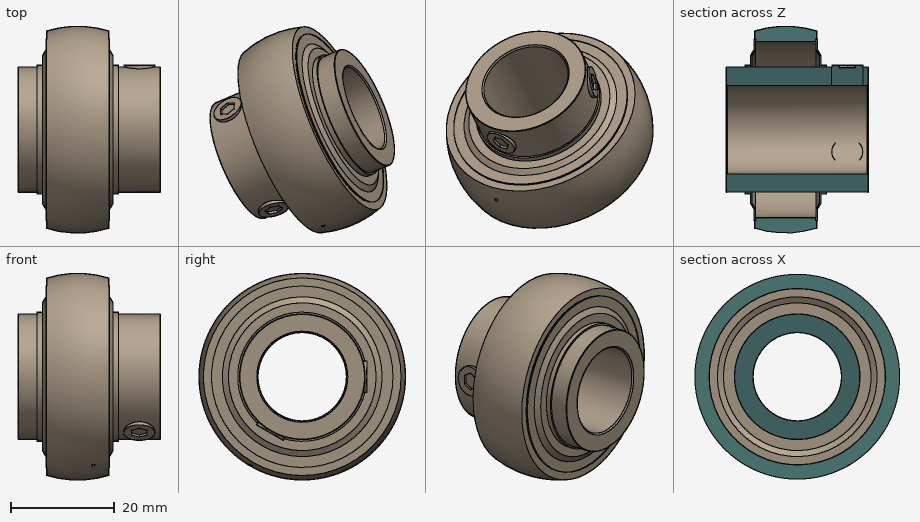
import cadquery as cq
import math


ring_diameter = 39.9
ring_width = 11.95
ring_bore = 33.9
oil_hole_diameter = 0.6
oil_hole_x = 3.0

inner_left = -11.5
inner_right = 15.9
inner_diameter = 24.2
bore_diameter = 17.0
bore_chamfer = 0.28
rim_chamfer = 0.1

shield_diameter = 34.95
cone_outer_diameter = 30.75
cone_inner_diameter = 28.45
collar_diameter = 24.9
rim_face_x = 6.15
dish_face_x = 6.82
collar_end_x = 7.8
sheet = (collar_diameter - inner_diameter) / 2

screw_diameter = 6.0
screw_x = 11.85
screw_top_radius = 12.45
screw_tip_radius = bore_diameter / 2
socket_across_flats = 3.0
socket_depth = 0.48
lower_screw_angle = -120.0
screw_angles = [0.0, lower_screw_angle]
oil_hole_angle = lower_screw_angle


def disc(diameter, x_start, x_end):
    """Solid cylinder on the X axis."""
    return cq.Workplane("YZ").workplane(offset=x_start).circle(diameter / 2).extrude(x_end - x_start)


def radial_plane(x, radius, angle):
    """Work plane facing outwards at a given radius and angle about X."""
    y_part = math.cos(math.radians(angle))
    z_part = math.sin(math.radians(angle))
    origin = (x, radius * y_part, radius * z_part)
    return cq.Workplane(cq.Plane(origin=origin, xDir=(1, 0, 0), normal=(0, y_part, z_part)))


def screw_cylinder(angle):
    length = screw_top_radius - screw_tip_radius
    return radial_plane(screw_x, screw_tip_radius, angle).circle(screw_diameter / 2).extrude(length)


def make_outer_ring():
    half_width = ring_width / 2
    seat_x = rim_face_x - sheet
    edge_radius = math.sqrt((ring_diameter / 2) ** 2 - half_width**2)
    ring = (
        cq.Workplane("XY")
        .moveTo(-half_width, ring_bore / 2)
        .lineTo(-half_width, edge_radius)
        .threePointArc((0, ring_diameter / 2), (half_width, edge_radius))
        .lineTo(half_width, ring_bore / 2)
        .close()
        .revolve(360, (0, 0, 0), (1, 0, 0))
    )
    ring = ring.cut(disc(shield_diameter, -half_width, -seat_x))
    ring = ring.cut(disc(shield_diameter, seat_x, half_width))
    oil_hole = (
        radial_plane(oil_hole_x, 0, oil_hole_angle).circle(oil_hole_diameter / 2).extrude(ring_diameter / 2)
    )
    return ring.cut(oil_hole)


def make_inner_ring():
    ring = disc(inner_diameter, inner_left, inner_right).faces("<X or >X").edges().chamfer(rim_chamfer)
    ring = ring.cut(disc(bore_diameter, inner_left, inner_right))
    bore_edges = cq.selectors.RadiusNthSelector(0)
    ring = ring.faces("<X or >X").edges(bore_edges).chamfer(bore_chamfer)
    for angle in screw_angles:
        ring = ring.cut(screw_cylinder(angle))
    return ring


def make_shield(side):
    """Dished shield; side is -1 for the left end and +1 for the right end."""
    outer_face = [
        (rim_face_x, shield_diameter / 2),
        (rim_face_x, cone_outer_diameter / 2),
        (dish_face_x, cone_inner_diameter / 2),
        (dish_face_x, collar_diameter / 2),
        (collar_end_x, collar_diameter / 2),
    ]
    inner_face = [
        (collar_end_x, inner_diameter / 2),
        (dish_face_x - sheet, inner_diameter / 2),
        (dish_face_x - sheet, cone_inner_diameter / 2),
        (rim_face_x - sheet, cone_outer_diameter / 2),
        (rim_face_x - sheet, shield_diameter / 2),
    ]
    profile = [(side * x, radius) for x, radius in outer_face + inner_face]
    return cq.Workplane("XY").polyline(profile).close().revolve(360, (0, 0, 0), (1, 0, 0))


def make_set_screw(angle):
    corner_diameter = socket_across_flats / math.cos(math.pi / 6)
    socket = (
        radial_plane(screw_x, screw_top_radius - socket_depth, angle)
        .transformed(rotate=(0, 0, 90))
        .polygon(6, corner_diameter)
        .extrude(socket_depth)
    )
    return screw_cylinder(angle).cut(socket)


outer_ring = make_outer_ring()
inner_ring = make_inner_ring()
shields = [make_shield(side) for side in (-1, 1)]
set_screws = [make_set_screw(angle) for angle in screw_angles]

result = cq.Compound.makeCompound(
    [
        outer_ring.val(),
        inner_ring.val(),
        *[shield.val() for shield in shields],
        *[screw.val() for screw in set_screws],
    ]
)